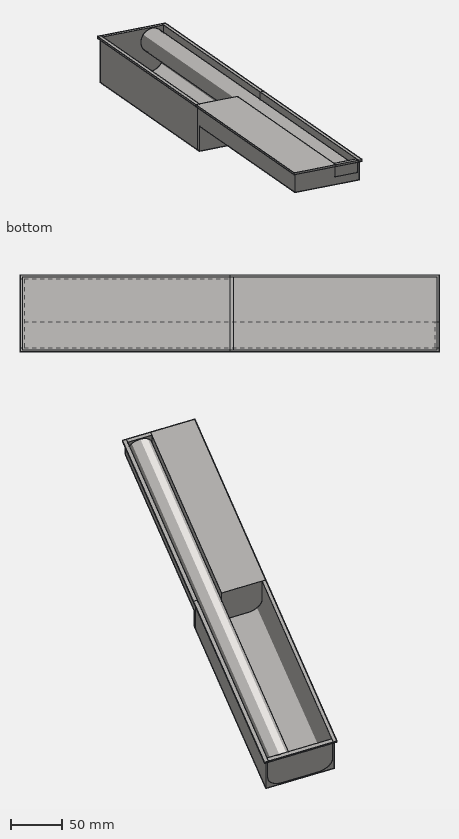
import cadquery as cq

length = 408.0
width = 75.0
height = 48.0
half_length = length / 2

rim_overhang = 2.0
rim_thickness = 2.0
rim_bottom = height - rim_thickness
body_width = width - 2 * rim_overhang
body_end = half_length - rim_overhang

side_wall = 2.0
floor_thickness = 2.0
cavity_width = body_width - 2 * side_wall
cavity_radius = 15.0

cover_depth = 21.7
cover_bottom = height - cover_depth
partition_thickness = 3.8

end_plate_thickness = 2.0
bar_end = body_end - end_plate_thickness
bar_diameter = 25.0
bar_radius = bar_diameter / 2
bar_top_gap = 1.0
bar_back = cavity_width / 2
bar_front = bar_back - bar_diameter
bar_y = bar_back - bar_radius
bar_z = height - bar_top_gap - bar_radius


def box(x_start, x_stop, y_start, y_stop, z_start, z_stop):
    """Block between two opposite corners."""
    size = (x_stop - x_start, y_stop - y_start, z_stop - z_start)
    return cq.Workplane("XY").box(*size, centered=False).translate((x_start, y_start, z_start))


def body_block(x_start, x_stop, z_start):
    """Block as wide as the body, reaching up to the rim top."""
    return box(x_start, x_stop, -body_width / 2, body_width / 2, z_start, height)


def rim(x_start, x_stop):
    """Plate at the top, as wide as the whole part."""
    return box(x_start, x_stop, -width / 2, width / 2, rim_bottom, height)


def cavity(x_start, x_stop):
    """Block with the rounded lower edges of the tray cavity, reaching up to the rim top."""
    block = box(x_start, x_stop, -cavity_width / 2, cavity_width / 2, floor_thickness, height)
    return block.edges("|X and <Z").fillet(cavity_radius)


def make_tray():
    """Deep channel with a rim, open at both ends."""
    channel = body_block(-body_end, 0, 0).union(rim(-half_length, 0))
    return channel.cut(cavity(-half_length, 0))


def make_tray_end_plate():
    """Plate that fills the outer end of the tray cavity, with a lip level with the rim."""
    plate = cavity(-body_end, -bar_end)
    lip = box(-half_length, -body_end, -cavity_width / 2, cavity_width / 2, rim_bottom, height)
    return plate.union(lip)


def make_cover():
    """Shallow block with a rim, a full-height partition and a slot for the upper half of the bar."""
    block = body_block(0, body_end, cover_bottom).union(rim(0, half_length))
    partition = body_block(0, partition_thickness, 0)
    slot = box(0, half_length, bar_front, bar_back, bar_z, height)
    return block.union(partition).cut(slot)


def make_cover_end_plate():
    """Plate that fills the outer end of the bar slot, with a lip level with the rim."""
    plate = box(bar_end, body_end, bar_front, bar_back, bar_z, height)
    lip = box(body_end, half_length, bar_front, bar_back, rim_bottom, height)
    return plate.union(lip)


def make_bar():
    """Bar that is fully round in the tray and half round, flat side down, in the cover."""
    rod = (
        cq.Workplane("YZ", origin=(-bar_end, 0, 0))
        .center(bar_y, bar_z)
        .circle(bar_radius)
        .extrude(2 * bar_end)
    )
    lower_half_in_cover = box(0, bar_end, bar_front, bar_back, bar_z - bar_radius, bar_z)
    return rod.cut(lower_half_in_cover)


tray = make_tray()
tray_end_plate = make_tray_end_plate()
cover = make_cover()
cover_end_plate = make_cover_end_plate()
bar = make_bar()

result = cq.Compound.makeCompound(
    [tray.val(), tray_end_plate.val(), cover.val(), cover_end_plate.val(), bar.val()]
)